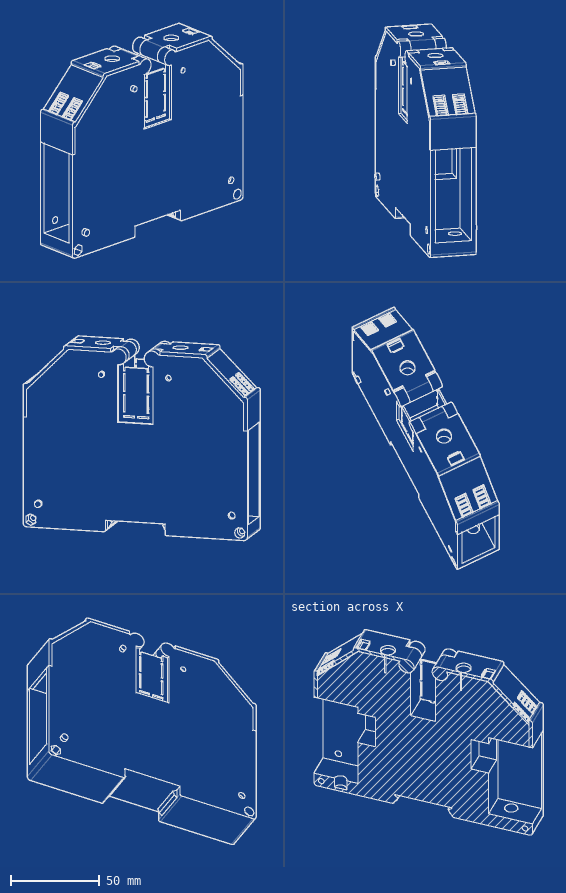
import cadquery as cq
import math


half_width = 13.3
half_length = 66.0
top_z = 106.5
bottom_fillet = 2.1
pick_margin = 0.1

lid_thickness = 2.1
lid_bottom_z = 63.6
lid_fillet = 1.3
lid_top_edge_y = 42.2
slope_top_z = 104.3
slope_bottom_y = 63.8
slope_bottom_z = 83.2
lid_seat_z = top_z - lid_thickness
lid_seat_y = half_length - lid_thickness
seat_slope_top_y = 39.3
seat_slope_bottom_z = 79.7

hinge_radius = 4.6
hinge_y = 9.9
hinge_z = top_z - hinge_radius
barrel_half_width = 7.3

grille_x = 5.7
grille_width = 6.9
grille_window_width = 5.3
grille_top_y = 54.5
grille_sink = 0.9
bar_depth = 0.8
bar_height = 1.2
bar_pitch = 2.1
bar_count = 5

screw_hole_radius = 4.2
screw_hole_y = 22.8
screw_hole_depth = 13.2
latch_width = 8.2
latch_inner_y = 35.2
latch_outer_y = 40.7
latch_depth = 2.0
latch_step = 0.3
latch_step_depth = 0.3
latch_notch_width = 5.8
latch_notch_length = 0.7
latch_notch_depth = 0.9

slot_half_length = 7.4
slot_floor_z = 66.8
panel_recess_half_length = 10.4
panel_recess_floor_z = 64.0
panel_recess_depth = 1.6
panel_thickness = 1.0
panel_top_z = 95.7
slit_width = 0.9
slit_z_ranges = [(69.8, 79.7), (81.7, 92.0), (93.6, panel_top_z)]
slit_bridge = 2.0

opening_width = 20.9
opening_floor_z = 9.0
opening_depth = 26.4
clamp_width = 16.6
clamp_bottom_z = 38.4
clamp_shoulder_z = 58.2
clamp_apex_z = 60.3
clamp_depth = 10.5
floor_hole_radius = 3.7
floor_hole_x = -4.9
floor_hole_y = 49.8
floor_hole_depth = 6.6

pin_length = 2.1
socket_depth = 2.4
side_pins = [(19.5, 91.5, 1.6), (56.8, 14.1, 2.0)]
bolt_y = 61.5
bolt_z = 4.4
bolt_radius = 1.6
bolt_recess_depth = 5.3
bolt_head_radius = 2.9
nut_sides = 6
nut_flats = 5.8
nut_corner_angle = 30

rail_half_length = 17.5
rail_depth = 6.7
rail_foot_fillet = 1.0
hook_half_width = 9.2
hook_tip = (14.9, 5.0)
hook_knee = (16.0, 2.8)
hook_foot = (18.3, 0.4)


def box(x0, x1, y0, y1, z0, z1):
    """Box between two opposite corners."""
    return cq.Workplane("XY").box(x1 - x0, y1 - y0, z1 - z0, centered=False).translate((x0, y0, z0))


def prism(points, x0, x1):
    """Closed (Y, Z) outline extruded from x0 to x1."""
    return cq.Workplane("YZ", origin=(x0, 0, 0)).polyline(points).close().extrude(x1 - x0)


def rod(y, z, radius, x0, x1):
    """Cylinder along X."""
    return cq.Workplane("YZ", origin=(x0, 0, 0)).center(y, z).circle(radius).extrude(x1 - x0)


def half_turn(shape):
    return shape.rotate((0, 0, 0), (0, 0, 1), 180)


def both_ends(shape):
    """The shape together with its half-turn copy."""
    return shape.union(half_turn(shape))


def slope_z(y):
    """Height of the lid's outer slope at y."""
    fall = (slope_top_z - slope_bottom_z) / (slope_bottom_y - lid_top_edge_y)
    return slope_top_z - fall * (y - lid_top_edge_y)


def seat_z(y):
    """Height of the housing's slope under the lid at y."""
    fall = (lid_seat_z - seat_slope_bottom_z) / (lid_seat_y - seat_slope_top_y)
    return lid_seat_z - fall * (y - seat_slope_top_y)


def seat_points():
    """Faces of the housing that carry the +Y lid, from the bottom end up."""
    return [
        (lid_seat_y, lid_bottom_z),
        (lid_seat_y, seat_slope_bottom_z),
        (seat_slope_top_y, lid_seat_z),
    ]


def screw_hole():
    return (
        cq.Workplane("XY", origin=(0, screw_hole_y, top_z))
        .circle(screw_hole_radius)
        .extrude(-screw_hole_depth)
    )


def lid_shell():
    outer = [
        (hinge_y, top_z),
        (lid_top_edge_y, top_z),
        (lid_top_edge_y, slope_top_z),
        (slope_bottom_y, slope_bottom_z),
        (half_length, slope_bottom_z),
        (half_length, lid_bottom_z),
    ]
    shell = prism(outer + seat_points() + [(hinge_y, lid_seat_z)], -half_width, half_width)
    for y, z in [(lid_top_edge_y, top_z), (half_length, slope_bottom_z)]:
        corner = cq.selectors.BoxSelector(
            (-half_width, y - pick_margin, z - pick_margin),
            (half_width, y + pick_margin, z + pick_margin),
        )
        shell = shell.edges(corner).fillet(lid_fillet)
    return shell


def knuckle_clearance():
    """Space in the lid for the two housing knuckles."""
    outer_y = hinge_y + hinge_radius
    left = box(-half_width, -barrel_half_width, hinge_y, outer_y, lid_seat_z, top_z)
    return left.union(left.mirror("YZ"))


def grille_slot(x):
    """Sunk slot in the slope, with a narrower window in its floor down to the seat slope."""
    top_slope_z = slope_z(grille_top_y)
    slope_edge = [(grille_top_y, top_slope_z), (slope_bottom_y, slope_bottom_z)]
    sunk_edge = [(slope_bottom_y, slope_bottom_z - grille_sink), (grille_top_y, top_slope_z - grille_sink)]
    seat_edge = [(slope_bottom_y, seat_z(slope_bottom_y)), (grille_top_y, seat_z(grille_top_y))]
    half = grille_width / 2
    window_half = grille_window_width / 2
    slot = prism(slope_edge + sunk_edge, x - half, x + half)
    return slot.union(prism(slope_edge + seat_edge, x - window_half, x + window_half))


def grille_bars(x):
    """Crossbars stepping down the window, level with the floor of the sunk slot."""
    half = grille_window_width / 2
    bars = []
    for i in range(bar_count):
        y = grille_top_y + i * bar_pitch
        z = slope_z(y) - grille_sink
        bars.append(box(x - half, x + half, y, y + bar_depth, z - bar_height, z))
    return bars


def latch_pocket():
    """Blind pocket in the lid top, with a shallow outer step and a narrower inner notch."""
    half = latch_width / 2
    notch_half = latch_notch_width / 2
    floor_z = top_z - latch_depth
    step_y = latch_outer_y - latch_step
    pocket = box(-half, half, latch_inner_y, step_y, floor_z, top_z)
    step = box(-half, half, step_y, latch_outer_y, top_z - latch_step_depth, top_z)
    notch_y = latch_inner_y - latch_notch_length
    notch = box(-notch_half, notch_half, notch_y, latch_inner_y, top_z - latch_notch_depth, top_z)
    return pocket.union(step).union(notch)


def make_lid():
    lid = lid_shell().cut(knuckle_clearance())
    lid = lid.union(rod(hinge_y, hinge_z, hinge_radius, -barrel_half_width, barrel_half_width))
    lid = lid.cut(screw_hole()).cut(latch_pocket())
    for x in (-grille_x, grille_x):
        lid = lid.cut(grille_slot(x))
        for bar in grille_bars(x):
            lid = lid.union(bar)
    return lid


def housing_block():
    end = [(half_length, 0), (half_length, lid_bottom_z)] + seat_points()
    other_end = [(-y, z) for y, z in reversed(end)]
    block = prism(end + other_end, -half_width, half_width)
    corners = cq.selectors.BoxSelector(
        (-half_width, -half_length - pick_margin, -pick_margin),
        (half_width, half_length + pick_margin, pick_margin),
    )
    return block.edges("|X").edges(corners).fillet(bottom_fillet)


def central_slot():
    """Slot through the width plus a shallow panel recess in each side face."""
    slot = box(
        -half_width, half_width, -slot_half_length, slot_half_length, slot_floor_z, top_z
    )
    recess = box(
        -half_width, -half_width + panel_recess_depth,
        -panel_recess_half_length, panel_recess_half_length,
        panel_recess_floor_z, hinge_z,
    )
    return slot.union(both_ends(recess))


def slit_panel():
    """Thin panel closing the -X side of the slot, cut by a row of slits."""
    x0 = -half_width + panel_recess_depth
    x1 = x0 + panel_thickness
    inner_y = slot_half_length - slit_width
    panel = box(x0, x1, -slot_half_length, slot_half_length, slot_floor_z, panel_top_z)
    slits = box(x0, x1, slit_bridge / 2, slot_half_length, slot_floor_z, slot_floor_z + slit_width)
    for z0, z1 in slit_z_ranges:
        slits = slits.union(box(x0, x1, inner_y, slot_half_length, z0, z1))
    return panel.cut(slits).cut(slits.mirror("XZ"))


def knuckles():
    """Outer hinge knuckles of one lid."""
    left = rod(hinge_y, hinge_z, hinge_radius, -half_width, -barrel_half_width)
    return left.union(left.mirror("YZ"))


def terminal_opening():
    """Opening in the end face, clamp pocket behind it and a blind hole in its floor."""
    half = opening_width / 2
    back_y = half_length - opening_depth
    opening = box(-half, half, back_y, half_length, opening_floor_z, lid_bottom_z)
    clamp_half = clamp_width / 2
    clamp = (
        cq.Workplane("XZ", origin=(0, back_y, 0))
        .polyline([
            (-clamp_half, clamp_bottom_z),
            (clamp_half, clamp_bottom_z),
            (clamp_half, clamp_shoulder_z),
            (0, clamp_apex_z),
            (-clamp_half, clamp_shoulder_z),
        ])
        .close()
        .extrude(clamp_depth)
    )
    floor_hole = (
        cq.Workplane("XY", origin=(floor_hole_x, floor_hole_y, opening_floor_z))
        .circle(floor_hole_radius)
        .extrude(-floor_hole_depth)
    )
    return opening.union(clamp).union(floor_hole)


def corner_bolt():
    """Bolt hole with a hexagonal nut recess at -X and a round head recess at +X."""
    hole = rod(bolt_y, bolt_z, bolt_radius, -half_width, half_width)
    head = rod(bolt_y, bolt_z, bolt_head_radius, half_width - bolt_recess_depth, half_width)
    nut = (
        cq.Workplane("YZ", origin=(-half_width, 0, 0))
        .center(bolt_y, bolt_z)
        .transformed(rotate=(0, 0, nut_corner_angle))
        .polygon(nut_sides, nut_flats / math.cos(math.pi / nut_sides))
        .extrude(bolt_recess_depth)
    )
    return hole.union(head).union(nut)


def rail_notch():
    """Full-width notch whose lower mouth is flared to round the feet beside it."""
    half = rail_half_length
    mouth = half + rail_foot_fillet
    sag = rail_foot_fillet * (1 - math.cos(math.radians(45)))
    return (
        cq.Workplane("YZ", origin=(-half_width, 0, 0))
        .moveTo(-half, rail_depth)
        .lineTo(half, rail_depth)
        .lineTo(half, rail_foot_fillet)
        .threePointArc((half + sag, sag), (mouth, 0))
        .lineTo(-mouth, 0)
        .threePointArc((-half - sag, sag), (-half, rail_foot_fillet))
        .close()
        .extrude(2 * half_width)
    )


def rail_hook():
    """Pointed hook at the middle of the width, reaching under the rail."""
    root = [(hook_foot[0], rail_depth), (rail_half_length, rail_depth)]
    return prism(root + [hook_tip, hook_knee, hook_foot], -hook_half_width, hook_half_width)


def make_housing():
    housing = housing_block().cut(central_slot())
    housing = housing.union(both_ends(slit_panel())).union(both_ends(knuckles()))
    barrel_seat = rod(hinge_y, hinge_z, hinge_radius, -barrel_half_width, barrel_half_width)
    housing = housing.cut(both_ends(barrel_seat)).cut(both_ends(screw_hole()))
    housing = housing.cut(both_ends(terminal_opening())).cut(both_ends(corner_bolt()))
    housing = housing.cut(rail_notch()).union(both_ends(rail_hook()))
    for y, z, radius in side_pins:
        pin = rod(y, z, radius, -half_width - pin_length, -half_width)
        socket = rod(y, z, radius, half_width - socket_depth, half_width)
        housing = housing.union(both_ends(pin)).cut(both_ends(socket))
    return housing


housing = make_housing()
lids = [make_lid()]
lids.append(half_turn(lids[0]))

result = cq.Compound.makeCompound([housing.solids().val(), *[lid.solids().val() for lid in lids]])